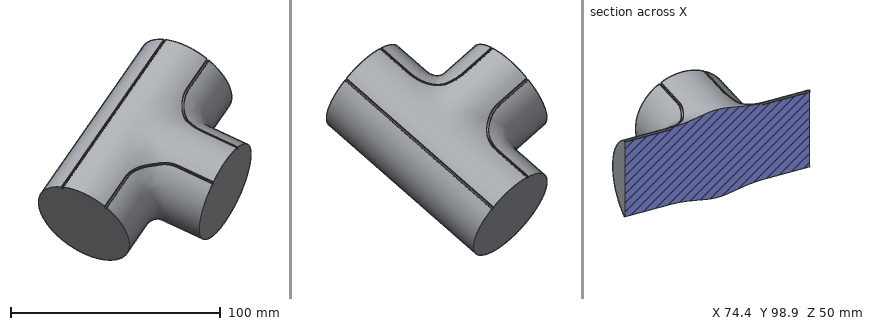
import cadquery as cq
import math

pipe_radius = 25.0
run_length = 98.9
branch_reach = 49.4

corner_radius = 4.9
crown_blend_end = 13.8

corner_reach = pipe_radius + corner_radius

groove_width = 1.0
groove_depth = 1.0
groove_offset = 11.9

steps_along = 40
steps_across = 12
blend_tolerance = 0.001
join_tolerance = 0.01


def blend_point(radius, along, across):
    """Point on the upper blend of a tee with the given pipe radius.

    Each level section of the blend is a quarter ellipse tangent to both pipes.
    along goes from -1 (-Y corner) over 0 (crown) to 1 (+Y corner);
    across goes from 0 (on the run) to 1 (on the branch).
    """
    half_width = radius * along**2
    height = math.sqrt(radius**2 - half_width**2)

    run_arc_radius = (corner_reach**2 + radius**2) / (2 * radius)
    run_y = math.sqrt(half_width * (2 * run_arc_radius - half_width))

    arc_x = (corner_reach**2 - crown_blend_end**2 - radius**2) / (2 * (corner_reach - crown_blend_end))
    branch_x = arc_x + math.sqrt((corner_reach - arc_x) ** 2 - height**2)

    angle = across * math.pi / 2
    x = branch_x - (branch_x - half_width) * math.cos(angle)
    y = run_y - (run_y - half_width) * math.sin(angle)
    return cq.Vector(x, math.copysign(y, along), height)


def edges_over_crown(face):
    """The two edges of a blend face that climb over the crown, run side first."""
    edges = [edge for edge in face.Edges() if edge.BoundingBox().zlen > corner_radius]
    return sorted(edges, key=lambda edge: edge.Center().x)


def corner_blend(radius):
    """Solid between the upper and lower blend surfaces, closed by upright walls inside the pipes."""
    grid = []
    for i in range(steps_along + 1):
        along = 2 * i / steps_along - 1
        grid.append([blend_point(radius, along, j / steps_across) for j in range(steps_across + 1)])
    upper = cq.Face.makeSplineApprox(grid, tol=blend_tolerance, minDeg=3, maxDeg=6)
    lower = upper.mirror("XY")

    edge_pairs = zip(edges_over_crown(upper), edges_over_crown(lower))
    walls = [cq.Face.makeRuledSurface(top, bottom) for top, bottom in edge_pairs]
    shell = cq.Shell.makeShell([upper, lower, *walls])
    return cq.Workplane(obj=cq.Solid.makeSolid(shell).fix())


def tee(radius):
    """Blended tee with the given pipe radius."""
    run = cq.Workplane("XZ").circle(radius).extrude(run_length / 2, both=True)
    branch = cq.Workplane("YZ").circle(radius).extrude(branch_reach)
    return run.union(branch).union(corner_blend(radius), tol=join_tolerance)


def straight_groove_band():
    """Upright band over the groove along the back of the run."""
    return (
        cq.Workplane("XY")
        .center(-groove_offset, 0)
        .rect(groove_width, run_length)
        .extrude(pipe_radius)
    )


def bent_groove_band():
    """Upright band over the groove that turns from the run into the branch on the +Y side."""
    near = groove_offset - groove_width / 2
    far = groove_offset + groove_width / 2
    bend = cq.Vector(corner_reach, corner_reach)
    diagonal = cq.Vector(1, 1).normalized()
    outer_middle = bend - diagonal * (corner_reach - near)
    inner_middle = bend - diagonal * (corner_reach - far)
    return (
        cq.Workplane("XY")
        .moveTo(near, run_length / 2)
        .lineTo(near, corner_reach)
        .threePointArc(outer_middle.toTuple()[:2], (corner_reach, near))
        .lineTo(branch_reach, near)
        .lineTo(branch_reach, far)
        .lineTo(corner_reach, far)
        .threePointArc(inner_middle.toTuple()[:2], (far, corner_reach))
        .lineTo(far, run_length / 2)
        .close()
        .extrude(pipe_radius)
    )


floor_tee = tee(pipe_radius - groove_depth)
bent_band = bent_groove_band()
result = tee(pipe_radius)
for band in (straight_groove_band(), bent_band, bent_band.mirror("XZ")):
    result = result.cut(band.cut(floor_tee))